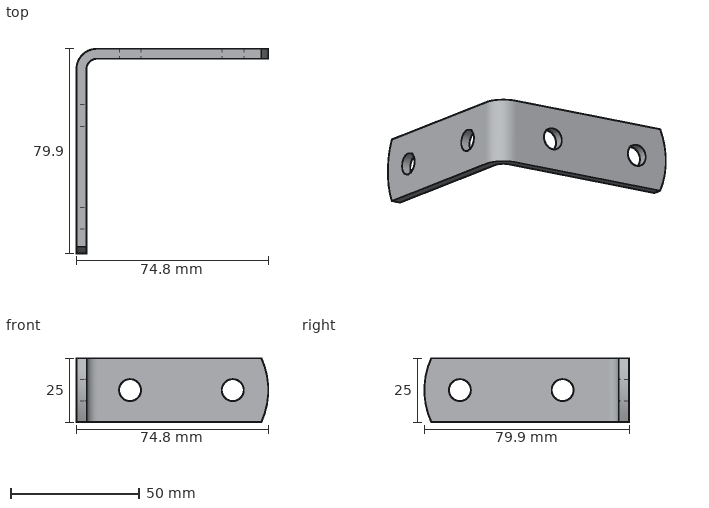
import cadquery as cq

leg_x = 74.85
leg_y = 79.9
width = 25.0
thickness = 4.0
inner_bend_radius = 4.0
tip_radius = 30.0
hole_diameter = 8.5
hole_pitch = 40.0
end_to_hole = 13.9

outer_bend_radius = inner_bend_radius + thickness


def bent_strip():
    """L-shaped strip with its outer corner at X = 0, Y = 0."""
    outer = cq.Workplane("XY").box(leg_x, leg_y, width, centered=(False, False, True))
    outer = outer.translate((0, -leg_y, 0))
    outer = outer.edges("|Z and <X and >Y").fillet(outer_bend_radius)
    inner = cq.Workplane("XY").box(leg_x, leg_y, width, centered=(False, False, True))
    inner = inner.translate((thickness, -leg_y - thickness, 0))
    inner = inner.edges("|Z and <X and >Y").fillet(inner_bend_radius)
    return outer.cut(inner)


def tip_cylinder(plane, leg_length, direction, depth):
    """Cylinder across the sheet whose surface touches the free end of a leg."""
    centre = direction * (leg_length - tip_radius)
    return cq.Workplane(plane).center(centre, 0).circle(tip_radius).extrude(depth)


def round_tip(body, plane, leg_length, direction, depth):
    """Trim the square end of a leg to an arc across the strip width."""
    end_block = (
        cq.Workplane(plane)
        .center(direction * (leg_length - tip_radius / 2), 0)
        .rect(tip_radius, width)
        .extrude(depth)
    )
    return body.cut(end_block.cut(tip_cylinder(plane, leg_length, direction, depth)))


def drill_leg(body, plane, leg_length, direction, depth):
    """Cut the pair of mounting holes through a leg."""
    outer_hole = leg_length - end_to_hole
    centres = [(direction * (outer_hole - i * hole_pitch), 0) for i in range(2)]
    holes = cq.Workplane(plane).pushPoints(centres).circle(hole_diameter / 2).extrude(depth)
    return body.cut(holes)


legs = [
    ("XZ", leg_x, 1, thickness),
    ("YZ", leg_y, -1, thickness),
]

result = bent_strip()
for leg in legs:
    result = round_tip(result, *leg)
    result = drill_leg(result, *leg)